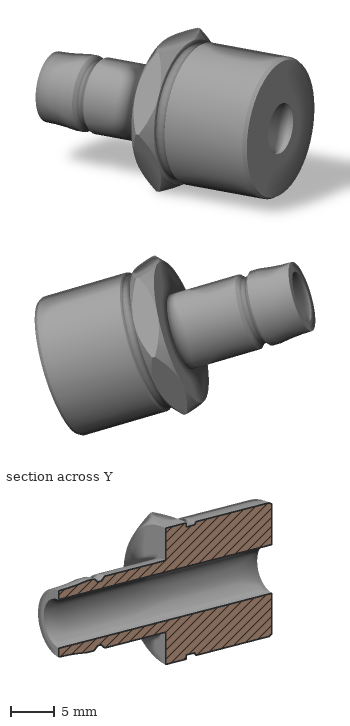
import cadquery as cq
import math

TIP_TAPER_END = 4.0
GROOVE_START = 5.0
GROOVE_END = 6.5
HEX_START = 15.0
HEX_END = 18.0
BODY_START = 19.3
TOTAL_LENGTH = 30.0

BORE_RADIUS = 3.0
TIP_RADIUS = 4.16
SPIGOT_RADIUS = 4.5
NECK_RADIUS = 8.0
BODY_RADIUS = 8.35
BODY_END_RADIUS = 8.1

GROOVE_DEPTH = 0.5
BODY_START_BEVEL_LENGTH = 0.2
BODY_END_CHAMFER_LENGTH = 0.45
HEX_ACROSS_FLATS = 17.0
HEX_ACROSS_CORNERS = HEX_ACROSS_FLATS / math.cos(math.pi / 6)
HEX_FACE_RADIUS = HEX_ACROSS_FLATS / 2
HEX_CHAMFER = HEX_ACROSS_CORNERS / 2 - HEX_FACE_RADIUS


def revolve_about_axis(profile):
    """Revolve a closed (X, radius) profile about the X axis."""
    return profile.close().revolve(360, (0, 0, 0), (1, 0, 0))


def make_spigot():
    """Hose spigot with a curved taper at the tip and a 45 degree sided groove."""
    groove_radius = SPIGOT_RADIUS - GROOVE_DEPTH
    taper_rise = SPIGOT_RADIUS - TIP_RADIUS
    taper_arc_radius = (TIP_TAPER_END**2 + taper_rise**2) / (2 * taper_rise)
    taper_middle = TIP_TAPER_END / 2
    taper_middle_radius = TIP_RADIUS + taper_arc_radius - math.sqrt(taper_arc_radius**2 - taper_middle**2)
    profile = (
        cq.Workplane("XY")
        .lineTo(0, TIP_RADIUS)
        .threePointArc((taper_middle, taper_middle_radius), (TIP_TAPER_END, SPIGOT_RADIUS))
        .lineTo(GROOVE_START, SPIGOT_RADIUS)
        .lineTo(GROOVE_START + GROOVE_DEPTH, groove_radius)
        .lineTo(GROOVE_END - GROOVE_DEPTH, groove_radius)
        .lineTo(GROOVE_END, SPIGOT_RADIUS)
        .lineTo(HEX_START, SPIGOT_RADIUS)
        .lineTo(HEX_START, 0)
    )
    return revolve_about_axis(profile)


def make_hexagon():
    """Hexagon with corners on +-Y, both faces chamfered at 45 degrees."""
    prism = (
        cq.Workplane("YZ", origin=(HEX_START, 0, 0))
        .polygon(6, HEX_ACROSS_CORNERS)
        .extrude(HEX_END - HEX_START)
    )
    corner_radius = HEX_FACE_RADIUS + HEX_CHAMFER
    envelope = (
        cq.Workplane("XY")
        .moveTo(HEX_START, 0)
        .lineTo(HEX_START, HEX_FACE_RADIUS)
        .lineTo(HEX_START + HEX_CHAMFER, corner_radius)
        .lineTo(HEX_END - HEX_CHAMFER, corner_radius)
        .lineTo(HEX_END, HEX_FACE_RADIUS)
        .lineTo(HEX_END, 0)
    )
    return prism.intersect(revolve_about_axis(envelope))


def make_body():
    """Cylindrical body behind the hexagon, with its relief neck and bevelled ends."""
    profile = (
        cq.Workplane("XY")
        .moveTo(HEX_END, 0)
        .lineTo(HEX_END, NECK_RADIUS)
        .lineTo(BODY_START - BODY_START_BEVEL_LENGTH, NECK_RADIUS)
        .lineTo(BODY_START, BODY_RADIUS)
        .lineTo(TOTAL_LENGTH - BODY_END_CHAMFER_LENGTH, BODY_RADIUS)
        .lineTo(TOTAL_LENGTH, BODY_END_RADIUS)
        .lineTo(TOTAL_LENGTH, 0)
    )
    return revolve_about_axis(profile)


def make_bore():
    """Through bore along the whole fitting."""
    return cq.Workplane("YZ").circle(BORE_RADIUS).extrude(TOTAL_LENGTH)


result = make_spigot().union(make_hexagon()).union(make_body()).cut(make_bore())